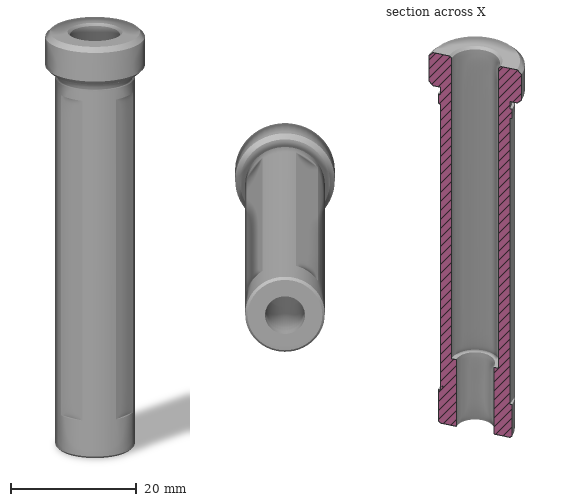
import cadquery as cq

TOTAL_LENGTH = 69.85
HEAD_DIAMETER = 15.875
BODY_DIAMETER = 12.68

HEAD_HEIGHT = 6.35
HEAD_CHAMFER = 0.76
HEAD_BOTTOM = TOTAL_LENGTH - HEAD_HEIGHT

RELIEF_DEPTH = 0.381
NECK_HEIGHT = 1.27
NECK_BOTTOM = HEAD_BOTTOM - NECK_HEIGHT
NECK_DIAMETER = BODY_DIAMETER - 2 * RELIEF_DEPTH

FLAT_COUNT = 4
FLAT_TOP_FROM_HEAD_FACE = 9.525
FLAT_BOTTOM = 6.35

END_CHAMFER = 0.4

GUIDE_DIAMETER = 6.35
GUIDE_LENGTH = 2 * GUIDE_DIAMETER
CLEARANCE_DIAMETER = 7.9375
MOUTH_CHAMFER = 0.4


def make_body():
    """Cylindrical body with a chamfered lower end."""
    body = cq.Workplane("XY").circle(BODY_DIAMETER / 2).extrude(NECK_BOTTOM)
    return body.faces("<Z").chamfer(END_CHAMFER)


def make_neck():
    """Reduced neck between the body and the head."""
    return cq.Workplane("XY", origin=(0, 0, NECK_BOTTOM)).circle(NECK_DIAMETER / 2).extrude(NECK_HEIGHT)


def make_head():
    """Round head chamfered on both rims."""
    head = cq.Workplane("XY", origin=(0, 0, HEAD_BOTTOM)).circle(HEAD_DIAMETER / 2).extrude(HEAD_HEIGHT)
    return head.faces("|Z").chamfer(HEAD_CHAMFER)


def cut_flats(part):
    """Mill shallow flats, evenly spaced, into the middle of the body."""
    flat_height = TOTAL_LENGTH - FLAT_TOP_FROM_HEAD_FACE - FLAT_BOTTOM
    cutter = (
        cq.Workplane("XY", origin=(NECK_DIAMETER / 2, 0, FLAT_BOTTOM))
        .box(BODY_DIAMETER, BODY_DIAMETER, flat_height, centered=(False, True, False))
    )
    for index in range(FLAT_COUNT):
        angle = index * 360 / FLAT_COUNT
        part = part.cut(cutter.rotate((0, 0, 0), (0, 0, 1), angle))
    return part


def make_bore():
    """Solid of the stepped bore, with its chamfered mouth at the head face."""
    guide = cq.Workplane("XY").circle(GUIDE_DIAMETER / 2).extrude(TOTAL_LENGTH)
    clearance = (
        cq.Workplane("XY", origin=(0, 0, GUIDE_LENGTH))
        .circle(CLEARANCE_DIAMETER / 2)
        .extrude(TOTAL_LENGTH - GUIDE_LENGTH)
    )
    mouth_radius = CLEARANCE_DIAMETER / 2 + MOUTH_CHAMFER
    mouth = cq.Solid.makeCone(
        CLEARANCE_DIAMETER / 2,
        mouth_radius,
        MOUTH_CHAMFER,
        pnt=cq.Vector(0, 0, TOTAL_LENGTH - MOUTH_CHAMFER),
    )
    return guide.union(clearance).union(cq.Workplane(mouth))


bushing = make_body().union(make_neck()).union(make_head())
result = cut_flats(bushing).cut(make_bore())